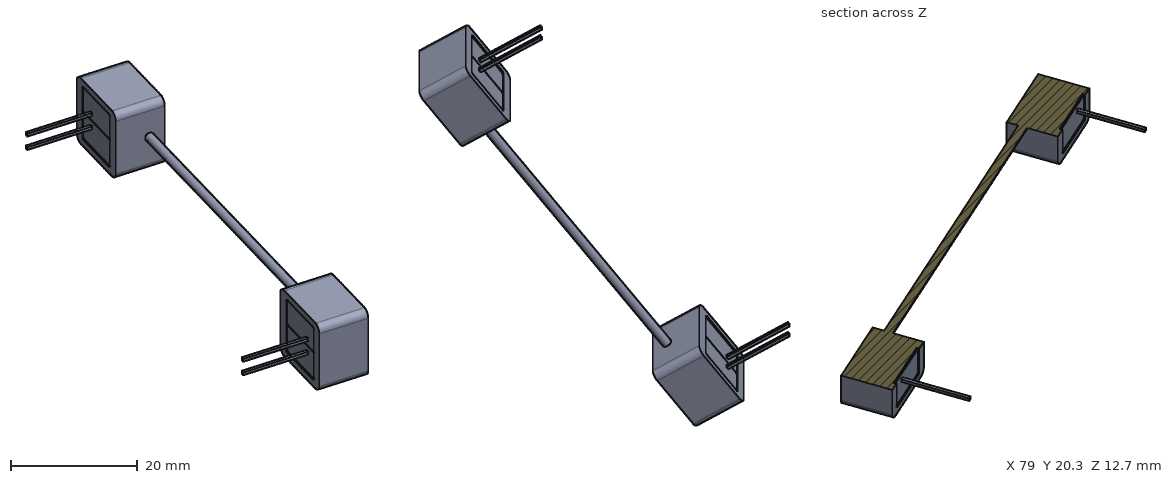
import cadquery as cq

overall_length = 79.0
housing_size = 12.7
housing_depth = 8.85
corner_radius = 1.3

pocket_width = 9.1
pocket_height = 10.2
pocket_outer_margin = 1.7
groove_width = 0.1
groove_depth = 0.2
pocket_depth = 0.2
pocket_corner_radius = 0.4

lead_width = 0.55
lead_spacing = 2.6
lead_outer_margin = 4.35
lead_length = 11.45

cable_diameter = 1.6
cable_back_margin = 2.8

front_y = -housing_depth / 2
outer_x = -overall_length / 2
housing_center_x = outer_x + housing_size / 2


def make_housing():
    """Rounded block with its depth along Y."""
    return (
        cq.Workplane("XY")
        .box(housing_size, housing_depth, housing_size)
        .edges("|Y")
        .fillet(corner_radius)
        .translate((housing_center_x, 0, 0))
    )


def make_pocket():
    """Shallow round-cornered cutter with a thin blade that grooves the pocket floor."""
    center_x = outer_x + pocket_outer_margin + pocket_width / 2
    recess = (
        cq.Workplane("XY")
        .box(pocket_width, pocket_depth, pocket_height)
        .edges("|Y")
        .fillet(pocket_corner_radius)
        .translate((center_x, front_y + pocket_depth / 2, 0))
    )
    blade_depth = pocket_depth + groove_depth
    blade = (
        cq.Workplane("XY")
        .box(pocket_width, blade_depth, groove_width)
        .translate((center_x, front_y + blade_depth / 2, 0))
    )
    return recess.union(blade)


def make_leads():
    """Two leads running from the pocket floor out past the front face."""
    lead_x = outer_x + lead_outer_margin
    floor_y = front_y + pocket_depth
    return (
        cq.Workplane("XZ", origin=(0, floor_y, 0))
        .pushPoints([(lead_x, -lead_spacing / 2), (lead_x, lead_spacing / 2)])
        .rect(lead_width, lead_width)
        .extrude(lead_length + pocket_depth)
    )


def make_cable():
    """Straight cable between the facing sides of the housings."""
    cable_length = overall_length - 2 * housing_size
    cable_y = housing_depth / 2 - cable_back_margin
    return (
        cq.Workplane("YZ", origin=(-cable_length / 2, cable_y, 0))
        .circle(cable_diameter / 2)
        .extrude(cable_length)
    )


left_end = make_housing().cut(make_pocket()).union(make_leads())
right_end = left_end.mirror("YZ")
result = left_end.union(make_cable()).union(right_end)